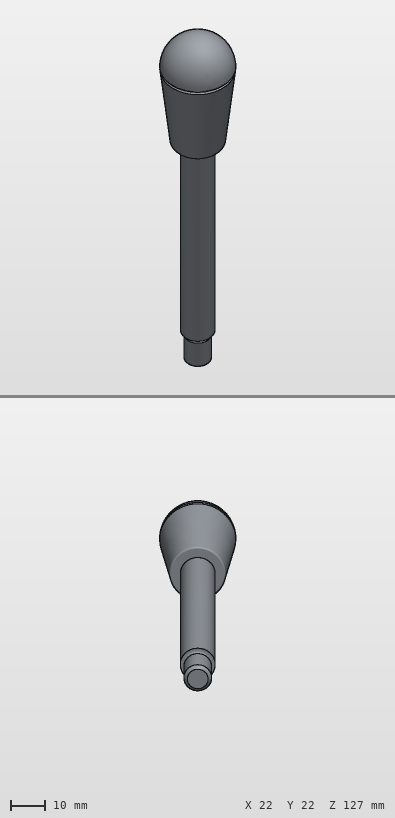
import cadquery as cq
import math

total_length = 127.0

knob_diameter = 22.0
grip_top_diameter = 21.8
grip_bottom_diameter = 16.0
grip_bottom_z = 87.0
grip_edge_radius = 0.5
groove_depth = 0.5
groove_bottom_z = 115.5
groove_top_z = 116.5

rod_diameter = 10.0
rod_bottom_z = 12.0
stud_diameter = 8.0
stud_tip_chamfer = 1.0
neck_diameter = 6.6
neck_fillet_radius = 1.0

knob_radius = knob_diameter / 2
grip_top_radius = grip_top_diameter / 2
grip_bottom_radius = grip_bottom_diameter / 2
stud_top_z = rod_bottom_z - neck_fillet_radius
rod_radius = rod_diameter / 2
stud_radius = stud_diameter / 2
neck_radius = neck_diameter / 2


def make_shank():
    """Chamfered stud, neck flaring in a quarter arc, and rod, revolved about Z."""
    neck_chamfer = stud_radius - neck_radius
    fillet_offset = neck_fillet_radius * (1 - math.sqrt(0.5))
    profile = (
        cq.Workplane("XZ")
        .moveTo(0, 0)
        .lineTo(stud_radius - stud_tip_chamfer, 0)
        .lineTo(stud_radius, stud_tip_chamfer)
        .lineTo(stud_radius, stud_top_z - neck_chamfer)
        .lineTo(neck_radius, stud_top_z)
        .threePointArc(
            (neck_radius + fillet_offset, rod_bottom_z - fillet_offset),
            (neck_radius + neck_fillet_radius, rod_bottom_z),
        )
        .lineTo(rod_radius, rod_bottom_z)
        .lineTo(rod_radius, grip_bottom_z)
        .lineTo(0, grip_bottom_z)
        .close()
    )
    return profile.revolve(360, (0, 0, 0), (0, 1, 0))


def make_knob():
    """Tapered grip, groove and spherical cap, revolved about Z."""
    sphere_center_z = total_length - knob_radius
    cap_base_radius = math.sqrt(knob_radius**2 - (groove_top_z - sphere_center_z) ** 2)
    groove_radius = grip_top_radius - groove_depth
    groove_middle_z = (groove_bottom_z + groove_top_z) / 2
    arc_offset = knob_radius * math.sqrt(0.5)
    profile = (
        cq.Workplane("XZ")
        .moveTo(0, grip_bottom_z)
        .lineTo(grip_bottom_radius, grip_bottom_z)
        .lineTo(grip_top_radius, groove_bottom_z)
        .threePointArc((groove_radius, groove_middle_z), (cap_base_radius, groove_top_z))
        .threePointArc((arc_offset, sphere_center_z + arc_offset), (0, total_length))
        .close()
    )
    knob = profile.revolve(360, (0, 0, 0), (0, 1, 0))
    return knob.faces("<Z").edges().fillet(grip_edge_radius)


result = make_knob().union(make_shank())